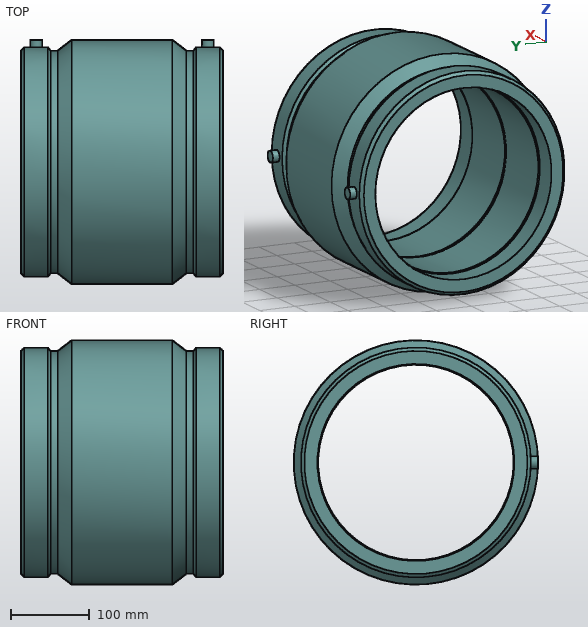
import cadquery as cq

length = 256.0
body_diameter = 310.0
collar_diameter = 291.5
neck_diameter = 282.7
end_bore_diameter = 250.0
band_bore_diameter = 247.5

collar_end = 34.0
neck_start = 37.5
neck_end = 46.5
body_start = 64.2
taper_start = 33.0
taper_end = 35.0

groove_width = 2.5

stud_diameter = 15.5
stud_inset = 19.2

half_length = length / 2
body_radius = body_diameter / 2
collar_radius = collar_diameter / 2
neck_radius = neck_diameter / 2
end_chamfer = collar_radius - neck_radius


def revolve_symmetric(left_profile):
    """Mirror (x, radius) points about X = 0 and revolve them into a solid."""
    right_profile = [(-x, radius) for x, radius in reversed(left_profile)]
    profile = [(-half_length, 0), *left_profile, *right_profile, (half_length, 0)]
    return cq.Workplane("XY").polyline(profile).close().revolve(360, (0, 0), (1, 0))


def make_shell():
    """Solid outer form: chamfered collars, necks and the wide body."""
    left_profile = [
        (-half_length, neck_radius),
        (-half_length + end_chamfer, collar_radius),
        (-half_length + collar_end, collar_radius),
        (-half_length + neck_start, neck_radius),
        (-half_length + neck_end, neck_radius),
        (-half_length + body_start, body_radius),
    ]
    return revolve_symmetric(left_profile)


def make_bore():
    """Wide end sockets taper into two narrower bands, parted by a central groove."""
    socket_radius = end_bore_diameter / 2
    band_radius = band_bore_diameter / 2
    groove_half_width = groove_width / 2
    left_profile = [
        (-half_length, socket_radius),
        (-half_length + taper_start, socket_radius),
        (-half_length + taper_end, band_radius),
        (-groove_half_width, band_radius),
        (-groove_half_width, socket_radius),
    ]
    return revolve_symmetric(left_profile)


def make_studs():
    """One stud per collar, rooted inside the wall and level with the body."""
    root = (neck_radius + end_bore_diameter / 2) / 2
    stud_x = half_length - stud_inset
    return (
        cq.Workplane("XZ", origin=(0, root, 0))
        .pushPoints([(-stud_x, 0), (stud_x, 0)])
        .circle(stud_diameter / 2)
        .extrude(root - body_radius)
    )


result = make_shell().cut(make_bore()).union(make_studs())